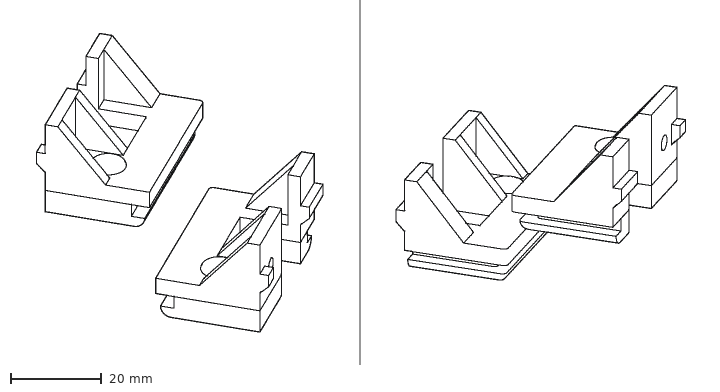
import cadquery as cq

OVERALL_X = 55.95
SHIFT_Y = 7.65
SHIFT_Z = 17.0

CORNER_R = 1.0

PLATE_WIDTH = 24.05
PLATE_LENGTH = 40.0
PLATE_THICK = 4.0
ARM_REACH = 13.95
FRONT_ARM_LENGTH = 16.05
REAR_ARM_LENGTH = 10.1
WALL_THICK = 2.9
WALL_HEIGHT = 13.05
FRONT_GUSSET_THICK = 3.1
REAR_GUSSET_THICK = 6.15

CATCH_DEPTH = 2.0
CATCH_FACE = 2.9
CATCH_DROP = 7.5
FRONT_CATCH_LENGTH = 3.5

BASE_HEIGHT = 5.55
NECK_INSET_X = 4.2
NECK_INSET_Y = 5.1
LIP_INSET_X = 1.1
LIP_INSET_Y = 2.0
LIP_HEIGHT = 2.5

BUTTON_X = 12.0
BUTTON_Y = FRONT_ARM_LENGTH / 2
BUTTON_R = 4.05
BUTTON_HEIGHT = 1.0
HOLE_R = 1.75
HOLE_ABOVE_PLATE = 3.0

PLATE_TOP = BASE_HEIGHT + PLATE_THICK
WALL_TOP = PLATE_TOP + WALL_HEIGHT
CATCH_TOP = WALL_TOP - CATCH_DROP
REAR_ARM_START = PLATE_LENGTH - REAR_ARM_LENGTH
NOTCH_LENGTH = REAR_ARM_START - FRONT_ARM_LENGTH


def box(x, y, z, width, length, height):
    """Box given by its lowest corner and its sizes along X, Y and Z."""
    return cq.Workplane("XY").box(width, length, height, centered=False).translate((x, y, z))


def side_profile(points, start_y, length):
    """Outline in the XZ plane, extruded toward +Y from start_y."""
    outline = cq.Workplane("XZ").polyline(points).close()
    return outline.extrude(-length).translate((0, start_y, 0))


def cut_notch(body, bottom, height):
    """Open the gap between the front and rear arms."""
    return body.cut(box(0, FRONT_ARM_LENGTH, bottom, ARM_REACH, NOTCH_LENGTH, height))


def gusset(start_y, thickness):
    points = [
        (WALL_THICK, WALL_TOP),
        (WALL_THICK, PLATE_TOP),
        (ARM_REACH, PLATE_TOP),
    ]
    return side_profile(points, start_y, thickness)


def catch(start_y, length):
    """Ledge with a flat top and a 45 degree underside."""
    points = [
        (0, CATCH_TOP),
        (-CATCH_DEPTH, CATCH_TOP),
        (-CATCH_DEPTH, CATCH_TOP - CATCH_FACE),
        (0, CATCH_TOP - CATCH_FACE - CATCH_DEPTH),
    ]
    return side_profile(points, start_y, length)


def make_bracket():
    plate = box(0, 0, BASE_HEIGHT, PLATE_WIDTH, PLATE_LENGTH, PLATE_THICK)
    plate = plate.edges("|Z and >X and >Y").fillet(CORNER_R)
    bracket = cut_notch(plate, BASE_HEIGHT, PLATE_THICK)

    bracket = bracket.union(box(0, 0, PLATE_TOP, WALL_THICK, FRONT_ARM_LENGTH, WALL_HEIGHT))
    bracket = bracket.union(box(0, REAR_ARM_START, PLATE_TOP, WALL_THICK, REAR_ARM_LENGTH, WALL_HEIGHT))

    bracket = bracket.union(gusset(0, FRONT_GUSSET_THICK))
    bracket = bracket.union(gusset(FRONT_ARM_LENGTH - FRONT_GUSSET_THICK, FRONT_GUSSET_THICK))
    bracket = bracket.union(gusset(PLATE_LENGTH - REAR_GUSSET_THICK, REAR_GUSSET_THICK))

    bracket = bracket.union(catch(0, FRONT_CATCH_LENGTH))
    bracket = bracket.union(catch(REAR_ARM_START, REAR_ARM_LENGTH))

    hole = cq.Workplane("YZ").center(BUTTON_Y, PLATE_TOP + HOLE_ABOVE_PLATE)
    return bracket.cut(hole.circle(HOLE_R).extrude(WALL_THICK))


def lip_section(plane, reach):
    """Slab outline whose lower outer edge is a full quarter round."""
    return (
        cq.Workplane(plane)
        .lineTo(reach - LIP_HEIGHT, 0)
        .radiusArc((reach, LIP_HEIGHT), -LIP_HEIGHT)
        .lineTo(0, LIP_HEIGHT)
        .close()
    )


def make_base():
    neck = box(0, 0, 0, PLATE_WIDTH - NECK_INSET_X, PLATE_LENGTH - NECK_INSET_Y, BASE_HEIGHT)
    neck = neck.edges("|Z and >X and >Y").fillet(CORNER_R)

    lip_width = PLATE_WIDTH - LIP_INSET_X
    lip_length = PLATE_LENGTH - LIP_INSET_Y
    lip = lip_section("XZ", lip_width).extrude(-lip_length)
    lip = lip.intersect(lip_section("YZ", lip_length).extrude(lip_width))
    mitre_point = (lip_width - LIP_HEIGHT / 3, lip_length - LIP_HEIGHT / 3, LIP_HEIGHT / 4)
    lip = lip.edges(cq.NearestToPointSelector(mitre_point)).fillet(CORNER_R)

    return cut_notch(neck.union(lip), 0, BASE_HEIGHT)


def make_button():
    """Flat disc with a fully rounded rim."""
    rim_start = BUTTON_R - BUTTON_HEIGHT
    half_section = (
        cq.Workplane("XZ")
        .lineTo(BUTTON_R, 0)
        .radiusArc((rim_start, BUTTON_HEIGHT), -BUTTON_HEIGHT)
        .lineTo(0, BUTTON_HEIGHT)
        .close()
    )
    button = half_section.revolve(360, (0, 0, 0), (0, 1, 0))
    return button.translate((BUTTON_X, BUTTON_Y, PLATE_TOP))


def place_left(body):
    return body.translate((CATCH_DEPTH, SHIFT_Y, SHIFT_Z))


def place_right(body):
    return body.mirror("YZ").translate((OVERALL_X - CATCH_DEPTH, 0, 0))


solids = []
for make_body in (make_bracket, make_base, make_button):
    body = make_body()
    solids.append(place_left(body).solids().val())
    solids.append(place_right(body).solids().val())

result = cq.Compound.makeCompound(solids)